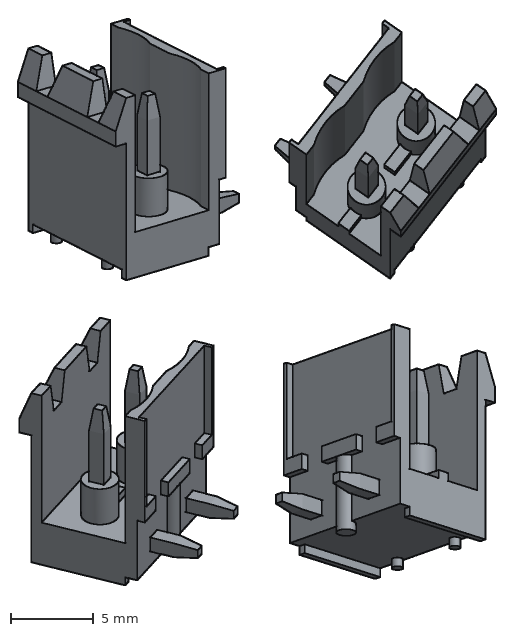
import cadquery as cq


width = 9.75
height = 12
front_wall = 0.7
cavity_depth = 5.6
back_wall = 0.8
floor_top = 3
cavity_back = front_wall + cavity_depth
wall_back = cavity_back + back_wall
standoff = 0.5
mount_plane = wall_back + standoff

contact_count = 2
pitch = 5.08
contact_x = [width / 2 + (i - (contact_count - 1) / 2) * pitch for i in range(contact_count)]
contact_y = front_wall + cavity_depth / 2
pin_width = 1.0
pin_tip_width = 0.58
pin_taper = 1.5
pin_top = 10.62
tail_z = 2.1
tail_length = 2.59
tail_end = mount_plane + tail_length

boss_diameter = 2.3
boss_top = 5.52
rib_width = 0.82
rib_height = 0.52
rib_reach = 2.74

hook_depth = 0.8
hook_bottom = 9
hook_corner = 10.0
notch_bottom = hook_corner
notch_top_width = 2.0
notch_bottom_width = 1.1
notch_shift = 0.06

scallop_width = 3.17
scallop_depth = 0.3

underside = 0.56
leg_width = 0.47
foot_diameter = 0.7
post_diameter = 1.2

standoff_bottom = 4.8
standoff_height = 1.0
lip_width = 0.25
end_block_width = 1.6
middle_block_width = 3.02


def box(x0, x1, y0, y1, z0, z1):
    """Box between two opposite corners."""
    return cq.Workplane("XY").box(x1 - x0, y1 - y0, z1 - z0, centered=False).translate((x0, y0, z0))


def rod(x, y, z0, z1, diameter):
    """Vertical cylinder."""
    return cq.Workplane("XY").circle(diameter / 2).extrude(z1 - z0).translate((x, y, z0))


def make_shell():
    """U-shaped channel with the latch hook, running along X."""
    return (
        cq.Workplane("YZ")
        .moveTo(0, 0)
        .lineTo(cavity_back, 0)
        .lineTo(cavity_back, underside)
        .lineTo(wall_back, underside)
        .lineTo(wall_back, height)
        .lineTo(cavity_back, height)
        .lineTo(cavity_back, floor_top)
        .lineTo(front_wall, floor_top)
        .lineTo(front_wall, height)
        .lineTo(0, height)
        .lineTo(-hook_depth, hook_corner)
        .lineTo(-hook_depth, hook_bottom)
        .lineTo(0, hook_bottom)
        .close()
        .extrude(width)
    )


def make_notch(x):
    """Tapered gap through the hook and the front wall."""
    half_top = notch_top_width / 2
    half_bottom = notch_bottom_width / 2
    return (
        cq.Workplane("XZ", origin=(x + notch_shift, front_wall, 0))
        .moveTo(-half_bottom, notch_bottom)
        .lineTo(half_bottom, notch_bottom)
        .lineTo(half_top, height)
        .lineTo(-half_top, height)
        .close()
        .extrude(front_wall + hook_depth)
    )


def make_scallop(x):
    """Shallow round hollow in the inner face of the back wall."""
    half = scallop_width / 2
    return (
        cq.Workplane("XY", origin=(x, cavity_back, floor_top))
        .moveTo(-half, 0)
        .threePointArc((0, scallop_depth), (half, 0))
        .close()
        .extrude(height - floor_top)
    )


def make_coding_rib(x):
    """Low rib on the cavity floor, from the boss toward the left end."""
    return box(
        max(0, x - rib_reach), x,
        contact_y - rib_width / 2, contact_y + rib_width / 2,
        floor_top, floor_top + rib_height,
    )


def add_standoffs(body):
    """Lips at both ends, with three blocks at their foot, behind the back wall."""
    for x0, x1 in [(0, lip_width), (width - lip_width, width)]:
        body = body.union(box(x0, x1, wall_back, mount_plane, standoff_bottom, height))
    block_top = standoff_bottom + standoff_height
    middle_start = (width - middle_block_width) / 2
    blocks = [
        (0, end_block_width),
        (middle_start, width - middle_start),
        (width - end_block_width, width),
    ]
    for x0, x1 in blocks:
        body = body.union(box(x0, x1, wall_back, mount_plane, standoff_bottom, block_top))
    return body


def make_pin(x):
    """Right-angle square pin with a tapered tip on each leg."""
    half = pin_width / 2
    upright_end = pin_top - pin_taper
    tail_taper_start = tail_end - pin_taper
    upright = box(x - half, x + half, contact_y - half, contact_y + half, tail_z - half, upright_end)
    tail = box(x - half, x + half, contact_y, tail_taper_start, tail_z - half, tail_z + half)
    upright_tip = (
        cq.Workplane("XY", origin=(x, contact_y, upright_end))
        .rect(pin_width, pin_width)
        .workplane(offset=pin_taper)
        .rect(pin_tip_width, pin_tip_width)
        .loft(ruled=True)
    )
    tail_tip = (
        cq.Workplane("XZ", origin=(x, tail_end, tail_z))
        .rect(pin_tip_width, pin_tip_width)
        .workplane(offset=pin_taper)
        .rect(pin_width, pin_width)
        .loft(ruled=True)
    )
    return upright.union(tail).union(upright_tip).union(tail_tip)


def make_housing(pins):
    """Housing with a matching channel for each pin."""
    body = make_shell()
    body = body.cut(box(leg_width, width - leg_width, 0, cavity_back, 0, underside))
    body = add_standoffs(body)
    post_y = mount_plane - post_diameter / 2
    body = body.union(rod(width / 2, post_y, 0, standoff_bottom, post_diameter))
    for x in contact_x:
        body = body.cut(make_notch(x)).cut(make_scallop(x))
        body = body.union(make_coding_rib(x))
        body = body.union(rod(x, contact_y, floor_top, boss_top, boss_diameter))
        body = body.union(rod(x, front_wall / 2, 0, underside, foot_diameter))
    for pin in pins:
        body = body.cut(pin)
    return body


pins = [make_pin(x) for x in contact_x]
housing = make_housing(pins)

result = cq.Compound.makeCompound([housing.solids().val(), *[pin.solids().val() for pin in pins]])